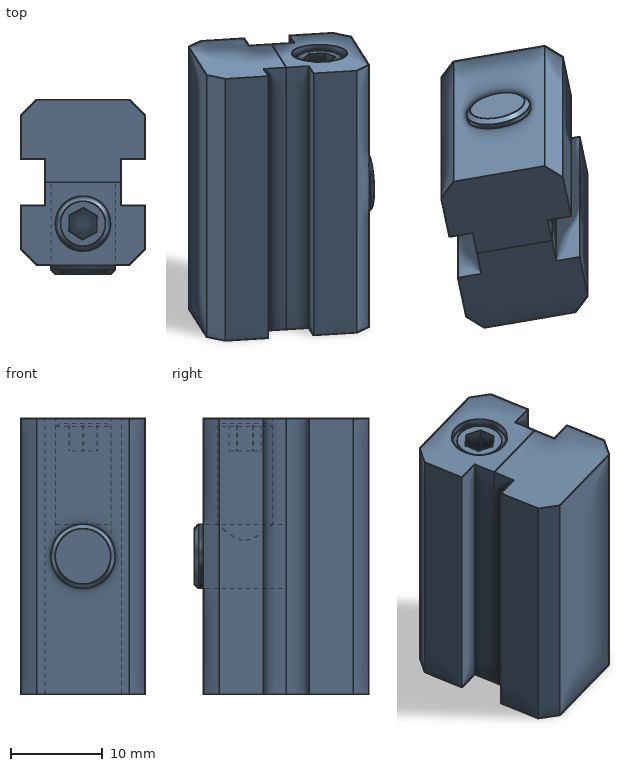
import cadquery as cq

length = 30.0
width = 13.5
depth = 18.0

half_depth = depth / 2
corner_chamfer = 1.7
slot_width = 5.0
neck_width = 8.3

screw_diameter = 6.0
screw_recess = 0.5
screw_bevel_diameter = 5.37
screw_face_diameter = 4.9
outer_bevel_height = 0.2
inner_bevel_height = 0.12
screw_from_front = 4.5
hex_across_flats = 3.0
hex_depth = 3.0
hex_turn = -2.0

pin_diameter = 7.0
pin_protrusion = 1.0
pin_chamfer = 0.48

front_y = -half_depth
middle_z = length / 2
screw_y = front_y + screw_from_front
screw_top_z = length - screw_recess
screw_tip_z = middle_z + pin_diameter / 2
screw_length = screw_top_z - screw_tip_z
pin_length = half_depth + pin_protrusion


def make_half(side):
    """Half of the slotted bar; side is -1 for the front half and +1 for the back half."""
    profile = [
        (neck_width / 2, 0),
        (neck_width / 2, side * slot_width / 2),
        (width / 2, side * slot_width / 2),
        (width / 2, side * (half_depth - corner_chamfer)),
        (width / 2 - corner_chamfer, side * half_depth),
    ]
    mirrored = [(-x, y) for x, y in reversed(profile)]
    return cq.Workplane("XY").polyline(profile + mirrored).close().extrude(length)


def make_pin_blank():
    """Plain cylinder filling the pin hole and standing out of the front face."""
    return (
        cq.Workplane("XZ", origin=(0, 0, middle_z))
        .circle(pin_diameter / 2)
        .extrude(pin_length)
    )


def make_front_half():
    """Front half with the pin hole through it and the screw hole down to the pin hole."""
    screw_hole = (
        cq.Workplane("XY", origin=(0, screw_y, middle_z))
        .circle(screw_diameter / 2)
        .extrude(length - middle_z)
    )
    return make_half(-1).cut(make_pin_blank()).cut(screw_hole)


def make_pin():
    """Button pin with a chamfered outer end."""
    return make_pin_blank().faces("<Y").chamfer(pin_chamfer)


def make_set_screw():
    """Set screw resting on the pin, with a double-bevelled top and a hexagon socket."""
    bevel_edge_z = screw_length - inner_bevel_height
    half_section = [
        (0, 0),
        (screw_diameter / 2, 0),
        (screw_diameter / 2, bevel_edge_z - outer_bevel_height),
        (screw_bevel_diameter / 2, bevel_edge_z),
        (screw_face_diameter / 2, screw_length),
        (0, screw_length),
    ]
    body = (
        cq.Workplane("XZ", origin=(0, screw_y, screw_tip_z))
        .polyline(half_section)
        .close()
        .revolve(360, (0, 0, 0), (0, 1, 0))
    )
    socket = (
        cq.Workplane("XY", origin=(0, screw_y, screw_top_z - hex_depth))
        .transformed(rotate=(0, 0, hex_turn))
        .polygon(6, hex_across_flats, circumscribed=True)
        .extrude(hex_depth)
    )
    return body.cut(socket)


back_half = make_half(1)
front_half = make_front_half()
set_screw = make_set_screw()
pin = make_pin()

result = cq.Compound.makeCompound([back_half.val(), front_half.val(), set_screw.val(), pin.val()])